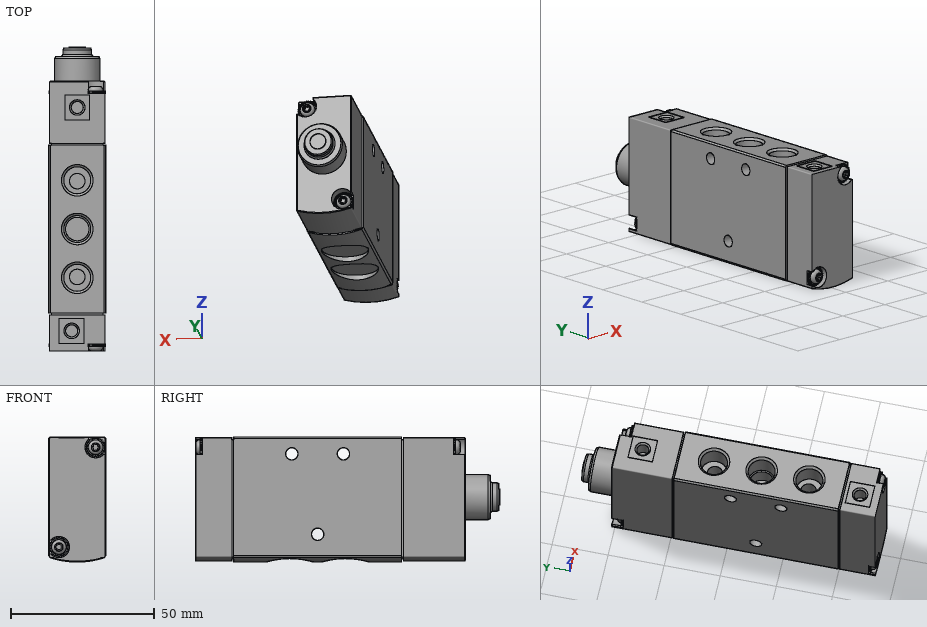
import cadquery as cq
import math


body_width = 20.0
body_height = 43.72
body_length = 58.6
body_edge_chamfer = 0.6
belly_sag = 1.75

main_port_pitch = 17.0
main_port_mouth_diameter = 11.0
main_port_diameter = 9.4
main_port_depth = 8.0
side_passage_diameter = 5.4
side_passage_offset = 16.7
centre_passage_diameter = 8.2
passage_depth = 6.0

mounting_hole_diameter = 4.2
upper_mounting_hole_spacing = 18.0
upper_mounting_hole_z = 15.9
lower_mounting_hole_z = -12.15

spotface_diameter = 16.5
spotface_spacing = 19.4

cap_inset = 0.3
cap_edge_fillet = 0.4
rear_face_chamfer = 0.3
neck_length = 0.6
neck_inset = 1.0
front_cap_end = -42.55
rear_cap_end = 51.55

pilot_pad_size = 8.7
pilot_pad_depth = 0.2
pilot_mouth_diameter = 5.4
pilot_port_diameter = 4.2
pilot_port_depth = 6.0
front_pilot_position = (-1.95, -35.5)
rear_pilot_position = (0.0, 42.4)

screw_positions = [(6.4, 18.2), (-6.4, -16.6)]
pocket_openings = [
    [(1, 0), (0, 1), (1, 1)],
    [(-1, 0)],
]
pocket_diameter = 7.4
pocket_slot_width = 5.0
front_pocket_depth = 2.4
rear_pocket_depth = 4.2
head_root_diameter = 5.93
dome_diameter = 5.2
head_tip_diameter = 6.8
knurl_teeth = 32
knurl_height = 0.8
head_height = 2.4
dome_top_diameter = 3.0
socket_diameter = 2.46
socket_lobe_diameter = 0.7
socket_depth = 1.2
socket_lobes = 6

knob_z = 0.83
collar_diameter = 15.9
collar_length = 8.65
collar_chamfer = (0.4, 0.8)
button_diameter = 10.0
button_length = 3.0
button_flare = (0.5, 0.75)
button_chamfer = (0.3, 0.7)
tip_diameter = 5.6
tip_length = 0.35

half_length = body_length / 2
body_top = body_height / 2


def block(inset, y_start, y_end):
    """Bar with flat top and sides and an arched underside, inset from the body outline."""
    half_width = body_width / 2 - inset
    top = body_top - inset
    shoulder = -body_top + belly_sag
    return (
        cq.Workplane("XZ", origin=(0, y_start, 0))
        .moveTo(-half_width, top)
        .lineTo(half_width, top)
        .lineTo(half_width, shoulder)
        .threePointArc((0, -top), (-half_width, shoulder))
        .close()
        .extrude(y_start - y_end)
    )


def vertical_hole(x, y, top, diameter, depth):
    """Cutter for a round hole going down from height top."""
    return cq.Workplane("XY", origin=(x, y, top)).circle(diameter / 2).extrude(-depth)


def mouth_cone(x, y, top, mouth_diameter, diameter):
    """Cutter for the 45 degree countersink at a port mouth."""
    depth = (mouth_diameter - diameter) / 2
    return (
        cq.Workplane("XY", origin=(x, y, top))
        .circle(mouth_diameter / 2)
        .workplane(offset=-depth)
        .circle(diameter / 2)
        .loft()
    )


def make_valve_body():
    body = block(0, -half_length, half_length).edges("|Y").chamfer(body_edge_chamfer)

    for row in (-1, 0, 1):
        port_y = row * main_port_pitch
        passage_y = row * side_passage_offset
        passage_diameter = side_passage_diameter if row else centre_passage_diameter
        body = body.cut(mouth_cone(0, port_y, body_top, main_port_mouth_diameter, main_port_diameter))
        body = body.cut(vertical_hole(0, port_y, body_top, main_port_diameter, main_port_depth))
        floor = body_top - main_port_depth
        body = body.cut(vertical_hole(0, passage_y, floor, passage_diameter, passage_depth))

    half_spacing = upper_mounting_hole_spacing / 2
    mounting_holes = (
        cq.Workplane("YZ", origin=(-body_width / 2, 0, 0))
        .pushPoints([
            (-half_spacing, upper_mounting_hole_z),
            (half_spacing, upper_mounting_hole_z),
            (0, lower_mounting_hole_z),
        ])
        .circle(mounting_hole_diameter / 2)
        .extrude(body_width)
    )
    body = body.cut(mounting_holes)

    for side in (-1, 1):
        seat_y = side * spotface_spacing / 2
        body = body.cut(vertical_hole(0, seat_y, -body_top + belly_sag, spotface_diameter, belly_sag))
    return body


def make_screw():
    """Knurled screw head, sitting on Z = 0 and pointing up."""
    outline = []
    for step in range(2 * knurl_teeth):
        radius = (head_tip_diameter if step % 2 else head_root_diameter) / 2
        angle = math.pi * step / knurl_teeth
        outline.append((radius * math.cos(angle), radius * math.sin(angle)))
    knurl = cq.Workplane("XY").polyline(outline).close().extrude(knurl_height)

    dome_radius = dome_diameter / 2
    top_radius = dome_top_diameter / 2
    bulge = math.sqrt(0.5)
    shoulder_point = (
        top_radius + (dome_radius - top_radius) * bulge,
        knurl_height + (head_height - knurl_height) * bulge,
    )
    dome = (
        cq.Workplane("XZ")
        .moveTo(0, knurl_height)
        .lineTo(dome_radius, knurl_height)
        .threePointArc(shoulder_point, (top_radius, head_height))
        .lineTo(0, head_height)
        .close()
        .revolve(360, (0, 0), (0, 1))
    )

    lobe_circle = (socket_diameter - socket_lobe_diameter) / 2
    socket = cq.Workplane("XY", origin=(0, 0, head_height)).circle(lobe_circle).extrude(-socket_depth)
    lobes = (
        cq.Workplane("XY", origin=(0, 0, head_height))
        .polarArray(lobe_circle, 0, 360, socket_lobes)
        .circle(socket_lobe_diameter / 2)
        .extrude(-socket_depth)
    )
    return knurl.union(dome).cut(socket).cut(lobes)


def make_end_cap(end_y, pilot_position, pocket_depth, face_chamfer=0):
    """End cap whose outer face is at end_y, with its two screw heads in place."""
    outward = 1 if end_y > 0 else -1
    body_face = outward * half_length
    cap_start = body_face + outward * neck_length
    cap = block(cap_inset, cap_start, end_y).edges("|Y").fillet(cap_edge_fillet)
    if face_chamfer:
        outer_face = ">Y" if outward > 0 else "<Y"
        cap = cap.faces(outer_face).chamfer(face_chamfer)
    cap = cap.union(block(neck_inset, body_face, cap_start))

    pilot_x, pilot_y = pilot_position
    cap_top = body_top - cap_inset
    recess_floor = cap_top - pilot_pad_depth
    recess = (
        cq.Workplane("XY", origin=(pilot_x, pilot_y, cap_top))
        .rect(pilot_pad_size, pilot_pad_size)
        .extrude(-pilot_pad_depth)
    )
    cap = cap.cut(recess)
    cap = cap.cut(mouth_cone(pilot_x, pilot_y, recess_floor, pilot_mouth_diameter, pilot_port_diameter))
    cap = cap.cut(vertical_hole(pilot_x, pilot_y, recess_floor, pilot_port_diameter, pilot_port_depth))

    floor_y = end_y - outward * pocket_depth
    for (x, z), openings in zip(screw_positions, pocket_openings):
        face = cq.Plane(origin=(x, floor_y, z), xDir=(1, 0, 0), normal=(0, outward, 0))
        pocket = cq.Workplane(face).circle(pocket_diameter / 2).extrude(pocket_depth)
        cap = cap.cut(pocket)
        slot = cq.Workplane(face).rect(pocket_slot_width, pocket_slot_width).extrude(pocket_depth)
        for open_x, open_z in openings:
            cap = cap.cut(slot.translate((open_x * pocket_slot_width / 2, 0, open_z * pocket_slot_width / 2)))
        cap = cap.union(cq.Workplane(make_screw().val().moved(cq.Location(face))))
    return cap


def make_knob():
    collar_radius = collar_diameter / 2
    button_radius = button_diameter / 2
    tip_radius = tip_diameter / 2
    button_end = collar_length + button_length
    tip_end = button_end + tip_length
    return (
        cq.Workplane("XY", origin=(0, rear_cap_end, knob_z))
        .moveTo(0, 0)
        .lineTo(collar_radius, 0)
        .lineTo(collar_radius, collar_length - collar_chamfer[1])
        .lineTo(collar_radius - collar_chamfer[0], collar_length)
        .lineTo(button_radius + button_flare[0], collar_length)
        .lineTo(button_radius, collar_length + button_flare[1])
        .lineTo(button_radius, button_end - button_chamfer[1])
        .lineTo(button_radius - button_chamfer[0], button_end)
        .lineTo(tip_radius, button_end)
        .lineTo(tip_radius, tip_end)
        .lineTo(0, tip_end)
        .close()
        .revolve(360, (0, 0), (0, 1))
    )


valve_body = make_valve_body()
front_cap = make_end_cap(front_cap_end, front_pilot_position, front_pocket_depth)
rear_cap = make_end_cap(rear_cap_end, rear_pilot_position, rear_pocket_depth, rear_face_chamfer)
knob = make_knob()

result = cq.Compound.makeCompound([
    valve_body.val(),
    front_cap.val(),
    rear_cap.val(),
    knob.val(),
])